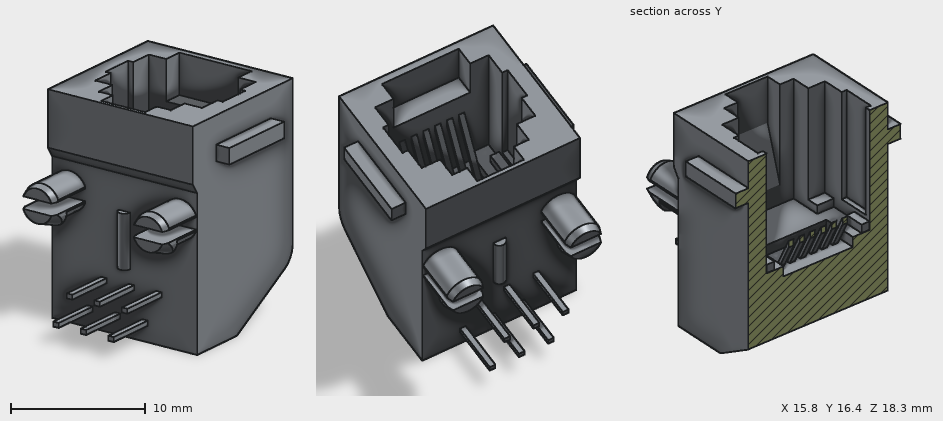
import cadquery as cq
import math


housing_width = 13.32
housing_height = 18.29
housing_back = 12.07
lip_reach = 0.53
lip_bottom = 13.66
lip_chamfer_bottom = 12.84
bottom_back = 5.01
back_slope_angle = 30.0
back_corner_radius = 2.01

ears_span = 15.75
ear_front = 2.41
ear_back = 9.3
ear_bottom = 14.63
ear_top = 15.95

cavity_floor = 7.86
cavity_back = 9.79
cavity_front = 3.02
cavity_half_width = 4.9
throat_half_width = 3.31
throat_front = 1.28
latch_half_width = 2.01
latch_front = -0.18
latch_ramp_top = 14.27
latch_ramp_slope = 3.2
notch_back = 11.45
notch_floor = 14.92
groove_half_width = 5.38
groove_front = 5.0
groove_back = 7.83
groove_floor = 8.96

ledge_height = 0.73
corner_ledge_back = 4.08
side_ledge_width = 0.75
side_ledge_front = 6.51
side_ledge_back = 8.27
pocket_front = 5.15
pocket_floor = 6.99

contact_count = 6
contact_pitch = 1.02
contact_width = 0.5
contact_thickness = 0.27
contact_top = 12.91
contact_front = 6.82

pin_count = contact_count
pin_pitch = 1.26
pin_width = 0.5
pin_thickness = 0.4
pin_tip = -4.32
pin_row_heights = (1.54, 4.06)

peg_offset = 5.08
peg_height = 10.43
peg_radius = 1.61
peg_half_width = 1.48
peg_length = 4.02
peg_taper_length = 0.62
peg_tip_radius = 1.39
peg_split = 0.99
barb_start = 2.35
barb_outline_drop = 0.59
barb_outline_radius = 1.5

rib_radius = 0.53
rib_bottom = 5.45
rib_top = 9.93

overlap = 0.18


def block(x_range, y_range, z_range):
    """Axis-aligned box from its limits along X, Y and Z."""
    (x0, x1), (y0, y1), (z0, z1) = x_range, y_range, z_range
    return cq.Workplane("XY").box(x1 - x0, y1 - y0, z1 - z0, centered=False).translate((x0, y0, z0))


def centered_block(half_width, y_range, z_range):
    """Box symmetric about X = 0."""
    return block((-half_width, half_width), y_range, z_range)


def side_profile(points, half_width):
    """Closed outline of (Y, Z) points extruded symmetrically about X = 0."""
    return cq.Workplane("YZ").polyline(points).close().extrude(half_width, both=True)


def disc(x, y, z, radius):
    """Workplane carrying a circle that faces -Y."""
    return cq.Workplane("XZ", origin=(x, y, z)).circle(radius)


def make_housing():
    slope_end = (housing_back - bottom_back) * math.tan(math.radians(back_slope_angle))
    outline = [
        (0, 0),
        (bottom_back, 0),
        (housing_back, slope_end),
        (housing_back, housing_height),
        (-lip_reach, housing_height),
        (-lip_reach, lip_bottom),
        (0, lip_chamfer_bottom),
    ]
    shell = side_profile(outline, housing_width / 2)
    back_corner = cq.selectors.NearestToPointSelector((0, housing_back, slope_end))
    shell = shell.edges(back_corner).fillet(back_corner_radius)
    ears = centered_block(ears_span / 2, (ear_front, ear_back), (ear_bottom, ear_top))
    return shell.union(ears)


def make_cavity():
    full_depth = (cavity_floor, housing_height)
    cavity = centered_block(cavity_half_width, (cavity_front, cavity_back), full_depth)
    cavity = cavity.union(centered_block(throat_half_width, (throat_front, cavity_back), full_depth))
    cavity = cavity.union(
        centered_block(throat_half_width, (cavity_front, notch_back), (notch_floor, housing_height))
    )
    cavity = cavity.union(
        centered_block(groove_half_width, (groove_front, groove_back), (groove_floor, housing_height))
    )
    cavity = cavity.union(
        centered_block(throat_half_width, (pocket_front, cavity_back), (pocket_floor, housing_height))
    )

    latch_ramp_bottom = latch_ramp_top - (throat_front - latch_front) * latch_ramp_slope
    latch_outline = [
        (latch_front, housing_height),
        (latch_front, latch_ramp_top),
        (throat_front, latch_ramp_bottom),
        (cavity_front, latch_ramp_bottom),
        (cavity_front, housing_height),
    ]
    return cavity.union(side_profile(latch_outline, latch_half_width))


def add_ledges(body):
    z_range = (cavity_floor - overlap, cavity_floor + ledge_height)
    wall = cavity_half_width + overlap
    side_ledge_inner = cavity_half_width - side_ledge_width
    ledges = (
        (throat_half_width, (cavity_front - overlap, corner_ledge_back)),
        (side_ledge_inner, (side_ledge_front, side_ledge_back)),
    )
    for inner, y_range in ledges:
        body = body.union(block((inner, wall), y_range, z_range))
        body = body.union(block((-wall, -inner), y_range, z_range))
    return body


def add_contacts(body):
    back = cavity_back + overlap
    slope = (contact_top - pocket_floor) / (cavity_back - contact_front)
    rise = overlap * slope
    thickness_drop = contact_thickness * math.hypot(1, slope)
    outline = [
        (contact_front - overlap, pocket_floor - rise),
        (back, contact_top + rise),
        (back, contact_top + rise - thickness_drop),
        (contact_front - overlap + thickness_drop / slope, pocket_floor - rise),
    ]
    contact = side_profile(outline, contact_width / 2)
    for index in range(contact_count):
        x = (index - (contact_count - 1) / 2) * contact_pitch
        body = body.union(contact.translate((x, 0, 0)))
    return body


def add_pins(body):
    for index in range(pin_count):
        x = (index - (pin_count - 1) / 2) * pin_pitch
        z = pin_row_heights[index % len(pin_row_heights)]
        pin = block(
            (x - pin_width / 2, x + pin_width / 2),
            (pin_tip, overlap),
            (z - pin_thickness / 2, z + pin_thickness / 2),
        )
        body = body.union(pin)
    return body


def make_rib():
    """Round bar centred on the mounting face, so that half of it stands out."""
    return cq.Workplane("XY", origin=(0, 0, rib_bottom)).circle(rib_radius).extrude(rib_top - rib_bottom)


def make_peg(x):
    """Round peg with flattened sides, a tapered tip, a split and a barb under its lower half."""
    taper_start = peg_length - peg_taper_length
    shaft = disc(x, overlap, peg_height, peg_radius).extrude(taper_start + overlap)
    tip = disc(x, -taper_start, peg_height, peg_radius)
    tip = tip.workplane(offset=peg_taper_length).circle(peg_tip_radius).loft()

    barb_length = peg_length - barb_start
    taper = (peg_radius - peg_tip_radius) / peg_taper_length
    barb = disc(x, -barb_start, peg_height, peg_tip_radius + taper * barb_length)
    barb = barb.workplane(offset=barb_length).circle(peg_tip_radius).loft()
    barb_height = peg_height - barb_outline_drop
    barb = barb.intersect(disc(x, -barb_start, barb_height, barb_outline_radius).extrude(barb_length))

    x_range = (x - peg_half_width, x + peg_half_width)
    y_range = (-peg_length, overlap)
    barb_bottom = barb_height - barb_outline_radius
    upper_limits = block(x_range, y_range, (peg_height + peg_split / 2, peg_height + peg_radius + overlap))
    lower_limits = block(x_range, y_range, (barb_bottom - overlap, peg_height - peg_split / 2))
    upper_half = shaft.union(tip).intersect(upper_limits)
    lower_half = shaft.union(barb).intersect(lower_limits)
    return upper_half.union(lower_half)


body = make_housing().cut(make_cavity())
body = add_ledges(body)
body = add_contacts(body)
body = add_pins(body)
for side in (-1, 1):
    body = body.union(make_peg(side * peg_offset))
result = body.union(make_rib())